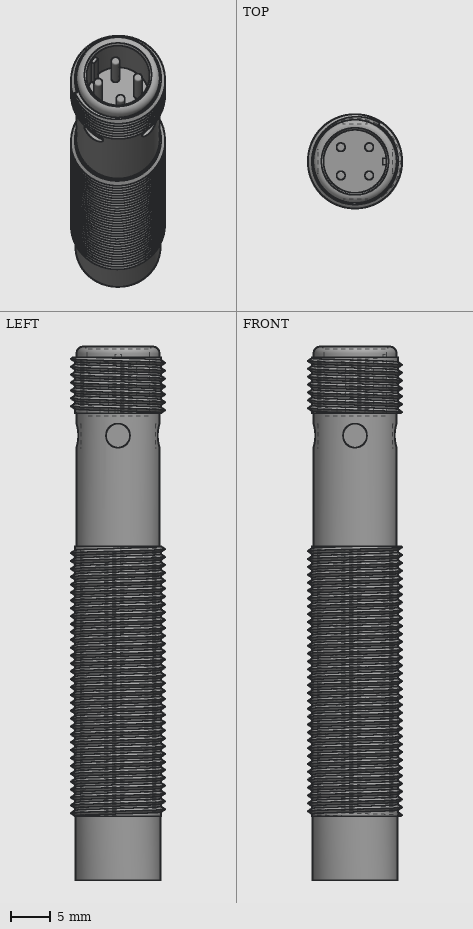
import cadquery as cq

length = 68.0
base_radius = 5.45
neck_radius = 5.3

thread_diameter = 12.05
thread_radius = thread_diameter / 2
thread_root_radius = 5.5
tooth_embed = 0.15
tooth_base = 0.9
lower_thread_turns = 34
crest_end_gap = 0.15
lower_thread_bottom = 8.15
lower_thread_top = 42.6
upper_thread_bottom = 59.5
upper_thread_top = 66.65
thread_pitch = (lower_thread_top - lower_thread_bottom - 2 * crest_end_gap) / lower_thread_turns

rim_round = 0.9
socket_radius = 4.0
socket_lead_in = 0.3
socket_floor = 59.15

pin_radius = 0.55
pin_round = 0.2
pin_spacing = 3.6
pin_top = 66.1
pin_root_depth = 0.7

key_width = 0.8
key_height = 0.5
key_top = 67.0

window_diameter = 3.05
window_height = 56.65
window_floor_radius = 4.75
window_count = 4


def cylinder(radius, bottom, top):
    return cq.Workplane("XY").workplane(offset=bottom).circle(radius).extrude(top - bottom)


def thread_ridge(bottom, top, left_handed):
    """Helical ridge, sunk slightly into the root cylinder and cut flat at both ends."""
    half_base = tooth_base / 2
    start = bottom + crest_end_gap
    rise = top - bottom - 2 * crest_end_gap
    inner_radius = thread_root_radius - tooth_embed
    base_point = cq.Vector(0, 0, start)
    helix = cq.Wire.makeHelix(thread_pitch, rise, inner_radius, center=base_point, lefthand=left_handed)
    tooth = cq.Workplane("XZ").polyline([
        (inner_radius, start - half_base),
        (thread_radius, start),
        (inner_radius, start + half_base),
    ]).close()
    ridge = tooth.sweep(cq.Workplane(obj=helix), isFrenet=True)
    return ridge.intersect(cylinder(thread_radius + tooth_embed, bottom, top))


def make_body():
    body = cylinder(neck_radius, 0, length).faces(">Z").edges().fillet(rim_round)
    body = body.union(cylinder(base_radius, 0, lower_thread_bottom))
    body = body.union(cylinder(thread_root_radius, lower_thread_bottom, lower_thread_top))
    return body.union(cylinder(thread_root_radius, upper_thread_bottom, upper_thread_top))


def make_socket():
    """Volume of the socket, flared at the mouth by the lead-in."""
    flare_start = length - socket_lead_in
    flare = cq.Workplane("XY").workplane(offset=flare_start).circle(socket_radius)
    flare = flare.workplane(offset=socket_lead_in).circle(socket_radius + socket_lead_in).loft()
    return cylinder(socket_radius, socket_floor, flare_start).union(flare)


def make_pins():
    pin = cylinder(pin_radius, socket_floor - pin_root_depth, pin_top)
    pin = pin.faces(">Z").edges().fillet(pin_round).val()
    pattern = cq.Workplane("XY").rarray(pin_spacing, pin_spacing, 2, 2)
    return pattern.eachpoint(lambda place: pin.moved(place), combine=False)


def make_key():
    """Rib on the +X socket wall, half of its depth buried in the wall."""
    height = key_top - socket_floor
    rib = cq.Workplane("XY").box(2 * key_height, key_width, height, centered=(True, True, False))
    return rib.translate((socket_radius, 0, socket_floor))


def make_window(angle):
    plane = cq.Workplane("YZ").workplane(offset=window_floor_radius)
    depth = neck_radius - window_floor_radius
    window = plane.center(0, window_height).circle(window_diameter / 2).extrude(depth)
    return window.rotate((0, 0, 0), (0, 0, 1), angle)


result = make_body().cut(make_socket()).union(make_pins()).union(make_key())
for index in range(window_count):
    result = result.cut(make_window(360 / window_count * index))
result = result.union(thread_ridge(lower_thread_bottom, lower_thread_top, left_handed=False))
result = result.union(thread_ridge(upper_thread_bottom, upper_thread_top, left_handed=True))